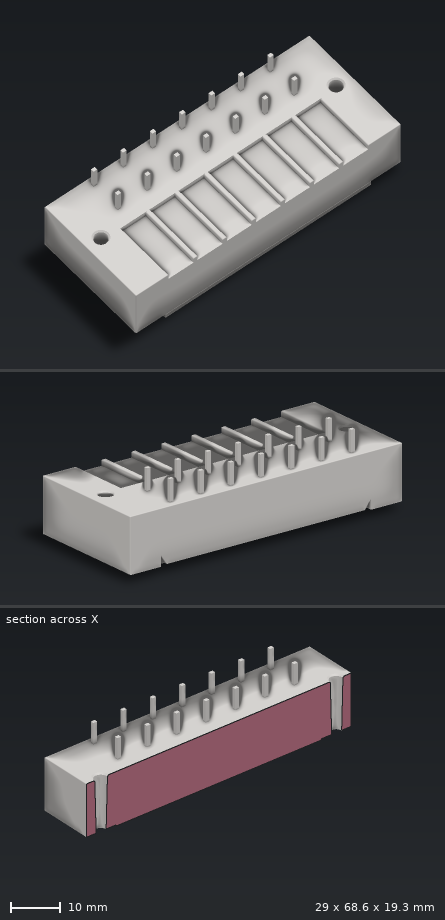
import cadquery as cq
import math

LENGTH_Y = 68.6
DEPTH_X = 29.0
TOTAL_HEIGHT = 19.3
PIN_HEIGHT = 5.0
LATCH_DROP = 1.65
BODY_HEIGHT = TOTAL_HEIGHT - PIN_HEIGHT - LATCH_DROP
EDGE_RADIUS = 0.2

PITCH = 7.6
ROWS = 7
ROW_NUMBERS = [i - (ROWS - 1) / 2 for i in range(ROWS)]

PIN_X = 0.8
PIN_Y = 0.95
PIN_SHIFT_Y = -0.2
FIRST_PIN_X = 1.9
PIN_COLUMNS = [FIRST_PIN_X, FIRST_PIN_X + PITCH]

POCKET_START_X = 13.85
POCKET_PITCH = 7.55
POCKET_WIDTH = 7.05
POCKET_DEPTH = 1.4
POCKET_RIM_RADIUS = 0.3

HOLE_X = 13.2
HOLE_Y = 4 * PITCH
HOLE_RIM_RADIUS = 1.9
HOLE_TOP_RADIUS = 1.6
HOLE_BOTTOM_RADIUS = 1.25
HOLE_CHAMFER = HOLE_RIM_RADIUS - HOLE_TOP_RADIUS

PLATE_WIDTH = 53.2
PLATE_DROP = 0.8
RECESS_WIDTH = 52.95
RECESS_DEPTH = 0.3
LIP_DROP = 0.2
LIP_START_X = 9.75
LIP_END_X = 13.2
STEP_END_X = 13.5
LATCH_X = 26.05
LATCH_TIP_DROP = 1.0

NOTCH_HEIGHT = 2.5
NOTCH_WIDTH = 1.7
NOTCH_DEPTH = 0.8


def extrude_along_y(points, width):
    """Extrude an XZ outline symmetrically about Y = 0."""
    return cq.Workplane("XZ").polyline(points).close().extrude(width / 2, both=True)


def make_body():
    """Rectangular block with small edge rounds; the back face keeps two sharp edges, at -Z and at -Y."""
    block = cq.Workplane("XY").box(DEPTH_X, LENGTH_Y, BODY_HEIGHT, centered=(False, True, False))
    return block.edges("not ((<X and <Z) or (<X and <Y))").fillet(EDGE_RADIUS)


def make_pocket(center_y):
    """Pocket whose two side walls roll over into the top face."""
    half_floor = POCKET_WIDTH / 2 - POCKET_RIM_RADIUS
    half_rim = POCKET_WIDTH / 2
    rim_z = BODY_HEIGHT
    wall_z = rim_z - POCKET_RIM_RADIUS
    floor_z = rim_z - POCKET_DEPTH
    arc_mid = POCKET_RIM_RADIUS * (1 - math.sqrt(0.5))
    outline = (
        cq.Workplane("YZ")
        .moveTo(-half_rim, rim_z)
        .threePointArc((-half_floor - arc_mid, rim_z - arc_mid), (-half_floor, wall_z))
        .lineTo(-half_floor, floor_z)
        .lineTo(half_floor, floor_z)
        .lineTo(half_floor, wall_z)
        .threePointArc((half_floor + arc_mid, rim_z - arc_mid), (half_rim, rim_z))
        .close()
    )
    pocket = outline.extrude(DEPTH_X - POCKET_START_X)
    return pocket.translate((POCKET_START_X, center_y, 0))


def make_hole(center_y):
    """Through hole that narrows downwards, with a chamfered rim."""
    profile = [
        (0, 0),
        (HOLE_BOTTOM_RADIUS, 0),
        (HOLE_TOP_RADIUS, BODY_HEIGHT - HOLE_CHAMFER),
        (HOLE_RIM_RADIUS, BODY_HEIGHT),
        (0, BODY_HEIGHT),
    ]
    hole = cq.Workplane("XZ").polyline(profile).close().revolve(360, (0, 0, 0), (0, 1, 0))
    return hole.translate((HOLE_X, center_y, 0))


def make_pin(x, y):
    """Rectangular contact pin standing on the top face."""
    pin = cq.Workplane("XY").box(PIN_X, PIN_Y, PIN_HEIGHT, centered=(True, True, False))
    return pin.translate((x, y, BODY_HEIGHT))


def make_recess():
    """Shallow recess in the underside, ending in a 45 degree slope at the lip."""
    outline = [
        (0, 0),
        (0, RECESS_DEPTH),
        (LIP_START_X - RECESS_DEPTH, RECESS_DEPTH),
        (LIP_START_X, 0),
    ]
    return extrude_along_y(outline, RECESS_WIDTH)


def make_notch(side):
    """Triangular notch in the back face, upright on its outer side."""
    outer_y = side * RECESS_WIDTH / 2
    outline = [(outer_y, 0), (outer_y, NOTCH_HEIGHT), (outer_y - side * NOTCH_WIDTH, 0)]
    return cq.Workplane("YZ").polyline(outline).close().extrude(NOTCH_DEPTH)


def make_latch_plate():
    """Lip, step and flat plate ending in a latch hook at the +X face."""
    outline = [
        (LIP_START_X, 0),
        (LIP_START_X + LIP_DROP, -LIP_DROP),
        (LIP_END_X, -LIP_DROP),
        (STEP_END_X, -PLATE_DROP),
        (LATCH_X, -PLATE_DROP),
        (LATCH_X, -LATCH_DROP),
        (DEPTH_X, -LATCH_TIP_DROP),
        (DEPTH_X, 0),
    ]
    return extrude_along_y(outline, PLATE_WIDTH)


result = make_body().cut(make_recess()).union(make_latch_plate())
for row in ROW_NUMBERS:
    result = result.cut(make_pocket(row * POCKET_PITCH))
    for pin_x in PIN_COLUMNS:
        result = result.union(make_pin(pin_x, row * PITCH + PIN_SHIFT_Y))
for side in (-1, 1):
    result = result.cut(make_hole(side * HOLE_Y))
    result = result.cut(make_notch(side))